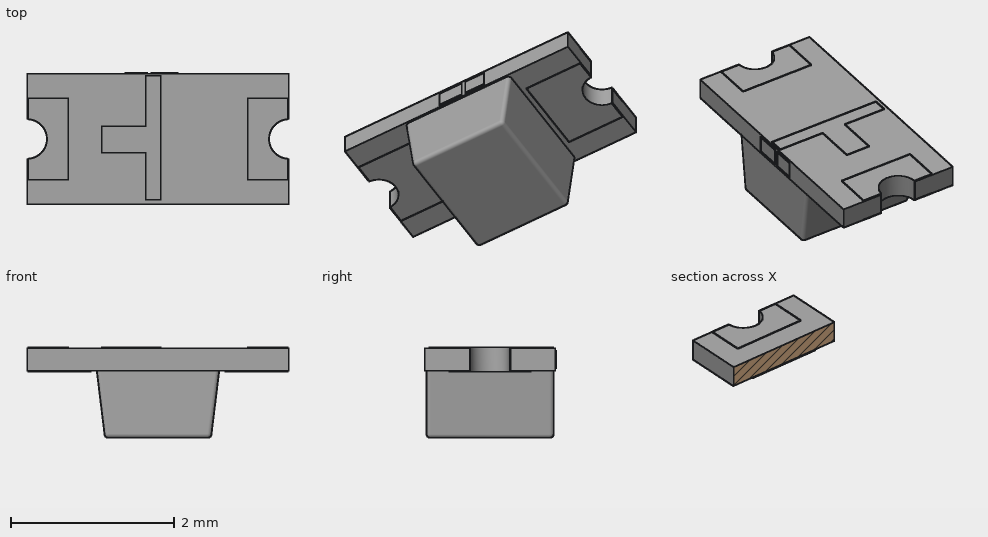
import cadquery as cq

board_length = 3.2
board_width = 1.6
board_thickness = 0.28
half_length = board_length / 2
board_bottom = -board_thickness

plating = 0.01
notch_radius = 0.25
pad_end_gap = 0.01
top_pad_inner = 1.1
pad_width = 1.0
bottom_pad_inner = 0.82

lens_root_length = 1.5
lens_tip_length = 1.3
lens_width = 1.56
lens_height = 0.82
lens_round = 0.05

mark_left = -0.69
mark_bar_left = -0.15
mark_bar_right = 0.035
mark_bar_front = -0.745
mark_bar_back = 0.775
mark_stem_front = -0.17
mark_stem_back = 0.155

side_plates = [(-0.40, -0.13), (-0.08, 0.24)]
side_plate_height = 0.22


def box_between(x_min, x_max, y_min, y_max, z_min, z_max):
    size = (x_max - x_min, y_max - y_min, z_max - z_min)
    return cq.Workplane("XY").box(*size, centered=False).translate((x_min, y_min, z_min))


def end_cylinder(side, radius, z_min, z_max):
    """Upright cylinder centred on the end face at X = side * half_length."""
    base = cq.Workplane("XY", origin=(side * half_length, 0, z_min))
    return base.circle(radius).extrude(z_max - z_min)


def make_board():
    board = box_between(
        -half_length, half_length, -board_width / 2, board_width / 2, board_bottom, 0
    )
    for side in (-1, 1):
        board = board.cut(end_cylinder(side, notch_radius, board_bottom, 0))
    return board


def make_pad(side, inner, z_min):
    outer = half_length - pad_end_gap
    x_min, x_max = sorted((side * inner, side * outer))
    return box_between(x_min, x_max, -pad_width / 2, pad_width / 2, z_min, z_min + plating)


def make_terminal(side):
    """Top pad, bottom pad and the plated notch wall at one end of the board."""
    z_min = board_bottom - plating
    z_max = plating
    outer = half_length - pad_end_gap
    x_min, x_max = sorted((0, side * outer))
    inside_board = box_between(x_min, x_max, -board_width / 2, board_width / 2, z_min, z_max)
    wall = end_cylinder(side, notch_radius, z_min, z_max).intersect(inside_board)
    top_pad = make_pad(side, top_pad_inner, 0)
    bottom_pad = make_pad(side, bottom_pad_inner, z_min)
    bore = end_cylinder(side, notch_radius - plating, z_min, z_max)
    return wall.union(top_pad).union(bottom_pad).cut(bore)


def make_lens():
    root = lens_root_length / 2
    tip = lens_tip_length / 2
    tip_z = board_bottom - lens_height
    profile = [(-root, board_bottom), (root, board_bottom), (tip, tip_z), (-tip, tip_z)]
    lens = cq.Workplane("XZ").polyline(profile).close().extrude(lens_width / 2, both=True)
    root_edges = lens.faces(">Z").edges().vals()
    rounded_edges = [
        edge for edge in lens.edges().vals()
        if not any(edge.isSame(root_edge) for root_edge in root_edges)
    ]
    return lens.newObject(rounded_edges).fillet(lens_round)


def make_polarity_mark():
    bar = box_between(mark_bar_left, mark_bar_right, mark_bar_front, mark_bar_back, 0, plating)
    stem = box_between(mark_left, mark_bar_right, mark_stem_front, mark_stem_back, 0, plating)
    return bar.union(stem)


def make_side_plate(x_min, x_max):
    z_min = board_bottom + (board_thickness - side_plate_height) / 2
    back = board_width / 2
    return box_between(x_min, x_max, back, back + plating, z_min, z_min + side_plate_height)


result = make_board().union(make_lens()).union(make_polarity_mark())
for side in (-1, 1):
    result = result.union(make_terminal(side))
for left, right in side_plates:
    result = result.union(make_side_plate(left, right))